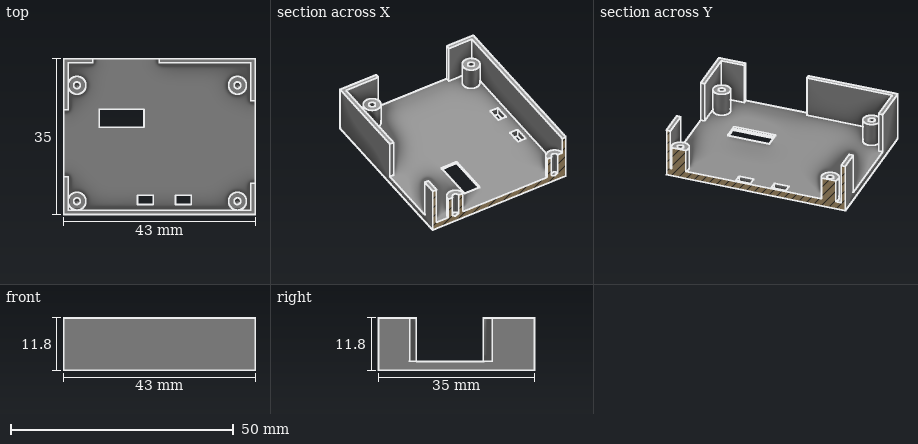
import cadquery as cq
import math

length = 43.0
width = 35.0
height = 11.8
wall = 1.0
floor = 2.0

post_diameter = 4.0
post_height = 5.5
pilot_diameter = 1.5
pilot_depth = post_height
pilot_tip_angle = 118.0
post_inset = wall + post_diameter / 2
post_span_x = 36.0
post_span_y = 26.0

back_opening = (6.5, 21.5)
left_opening = (8.5, 23.5)
right_opening = (7.0, 25.5)

large_window_size = (10.0, 4.0)
large_window_corner = (8.0, 19.6)
large_window_lip = 0.5
small_window_size = (3.5, 2.0)
small_window_y = 2.3
small_window_starts_x = (16.6, 25.1)


def block(corner, size):
    """Box with its lowest corner at the given point."""
    return cq.Workplane("XY").box(*size, centered=False).translate(corner)


def make_tray():
    """Open box: floor and four walls."""
    cavity_size = (length - 2 * wall, width - 2 * wall, height - floor)
    return block((0, 0, 0), (length, width, height)).cut(block((wall, wall, floor), cavity_size))


def cut_wall_openings(body):
    """Open the back, left and right walls from the floor surface to the rim."""
    depth = height - floor
    start, end = back_opening
    body = body.cut(block((start, width - wall, floor), (end - start, wall, depth)))
    for (start, end), x in ((left_opening, 0), (right_opening, length - wall)):
        body = body.cut(block((x, start, floor), (wall, end - start, depth)))
    return body


def cut_floor_window(body, corner, size):
    """Cut a rectangular window through the floor."""
    return body.cut(block((*corner, 0), (*size, floor)))


def cut_window_bevel(body):
    """Bevel the large window at 45 degrees from the underside up to a thin lip."""
    bevel = floor - large_window_lip
    size_x, size_y = large_window_size
    corner_x, corner_y = large_window_corner
    flare = (
        cq.Workplane("XY")
        .center(corner_x + size_x / 2, corner_y + size_y / 2)
        .rect(size_x + 2 * bevel, size_y + 2 * bevel)
        .workplane(offset=bevel)
        .rect(size_x, size_y)
        .loft(ruled=True)
    )
    return body.cut(flare)


def make_pilot(post_top):
    """Drilled pilot hole on the Z axis: a cylinder ending in a conical tip."""
    radius = pilot_diameter / 2
    shoulder = post_top - pilot_depth
    tip = shoulder - radius / math.tan(math.radians(pilot_tip_angle / 2))
    return (
        cq.Workplane("XZ")
        .polyline([(0, tip), (radius, shoulder), (radius, post_top), (0, post_top)])
        .close()
        .revolve(360, (0, 0), (0, 1))
    )


def add_posts(body):
    """Add the four posts, each with a blind pilot hole drilled from its top."""
    centers = [
        (post_inset + x, post_inset + y)
        for x in (0, post_span_x)
        for y in (0, post_span_y)
    ]
    post_top = floor + post_height
    posts = cq.Workplane("XY").pushPoints(centers).circle(post_diameter / 2).extrude(post_top)
    body = body.union(posts)
    pilot = make_pilot(post_top)
    for x, y in centers:
        body = body.cut(pilot.translate((x, y, 0)))
    return body


body = cut_wall_openings(make_tray())
body = cut_floor_window(body, large_window_corner, large_window_size)
body = cut_window_bevel(body)
for start_x in small_window_starts_x:
    body = cut_floor_window(body, (start_x, small_window_y), small_window_size)
result = add_posts(body)